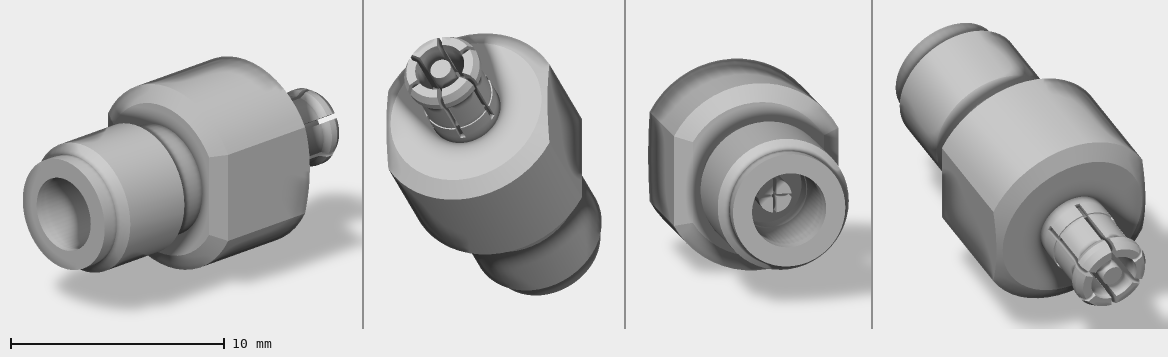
import cadquery as cq
import math


length = 16.7
socket_lip_end = 0.8
thread_relief_start = 5.3
nut_front = 6.5
nut_back = 12.55
plug_collar_end = 13.83

thread_radius = 3.15
thread_root_radius = 2.7
thread_chamfer = thread_radius - thread_root_radius
socket_bore_radius = 1.78
socket_bore_depth = 5.0
socket_inner_bore_radius = 1.73
socket_inner_bore_start = 4.0

contact_radius = 0.8
contact_height = 2.0
contact_slot_width = 0.17
contact_slot_depth = 1.0
contact_dimple_radius = 0.48
contact_dimple_angle = 118.0

nut_radius = 4.5
across_flats = 7.9
nut_chamfer_inset = 0.8
nut_chamfer_angle = 60.0
nut_chamfer_length = nut_chamfer_inset / math.tan(math.radians(nut_chamfer_angle))

collar_radius = 1.7
sleeve_radius = 1.64
bead_radius = 1.85
bead_step = 0.35
plug_bore_radius = 1.2
plug_bore_overrun = 0.05
plug_bore_end = plug_collar_end - plug_bore_overrun
pin_radius = 0.5
pin_recess = 0.15

slit_count = 6
first_slit_angle = 30.0
slit_width = 0.25
slit_length = 3.7
slit_floor_radius = 1.47


def turned(profile):
    """Revolve closed (radius, y) points about the Y axis."""
    return cq.Workplane("XY").polyline(profile).close().revolve(360, (0, 0, 0), (0, 1, 0))


def cylinder(radius, y_start, y_end):
    return turned([(0, y_start), (radius, y_start), (radius, y_end), (0, y_end)])


def make_socket_end():
    """Stepped thread cylinder, solid up to the wrench body."""
    return turned([
        (0, 0),
        (thread_root_radius, 0),
        (thread_root_radius, socket_lip_end),
        (thread_radius, socket_lip_end + thread_chamfer),
        (thread_radius, thread_relief_start - thread_chamfer),
        (thread_root_radius, thread_relief_start),
        (thread_root_radius, nut_front),
        (0, nut_front),
    ])


def nut_outline(y):
    """Circle with two flats, facing -Y at the given station."""
    flat_x = across_flats / 2
    flat_z = math.sqrt(nut_radius**2 - flat_x**2)
    return (
        cq.Workplane("XZ", origin=(0, y, 0))
        .moveTo(flat_x, -flat_z)
        .lineTo(flat_x, flat_z)
        .threePointArc((0, nut_radius), (-flat_x, flat_z))
        .lineTo(-flat_x, -flat_z)
        .threePointArc((0, -nut_radius), (flat_x, -flat_z))
        .close()
    )


def make_nut():
    """Round body with two flats; the front chamfer follows the flats, the back one is a turned cone."""
    body_start = nut_front + nut_chamfer_length
    front_chamfer = nut_outline(body_start).extrude(nut_chamfer_length, taper=nut_chamfer_angle)
    body = nut_outline(nut_back).extrude(nut_back - body_start)
    back_cone = turned([
        (0, body_start),
        (nut_radius, body_start),
        (nut_radius, nut_back - nut_chamfer_length),
        (nut_radius - nut_chamfer_inset, nut_back),
        (0, nut_back),
    ])
    return body.intersect(back_cone).union(front_chamfer)


def make_plug_end():
    """Collar and sleeve ending in a snap bead."""
    return turned([
        (0, nut_back),
        (collar_radius, nut_back),
        (collar_radius, plug_collar_end),
        (sleeve_radius, plug_collar_end),
        (sleeve_radius, length - 3 * bead_step),
        (bead_radius, length - 2 * bead_step),
        (bead_radius, length - bead_step),
        (sleeve_radius, length),
        (0, length),
    ])


def make_contact():
    """Centre contact on the socket floor, with a crossed slot and a drill-point dimple below the slot."""
    tip_y = socket_bore_depth - contact_height
    slot_floor_y = tip_y + contact_slot_depth
    dimple_depth = contact_dimple_radius / math.tan(math.radians(contact_dimple_angle / 2))
    contact = cylinder(contact_radius, tip_y, socket_bore_depth)
    slot_center_y = tip_y + contact_slot_depth / 2
    slot = cq.Workplane("XY").box(2 * contact_radius, contact_slot_depth, contact_slot_width)
    slot = slot.translate((0, slot_center_y, 0))
    for angle in (0, 90):
        contact = contact.cut(slot.rotate((0, 0, 0), (0, 1, 0), angle))
    dimple = turned([
        (0, slot_floor_y),
        (contact_dimple_radius, slot_floor_y),
        (0, slot_floor_y + dimple_depth),
    ])
    return contact.cut(dimple)


def make_slit():
    """One radial slit: full depth along the sleeve, shallower in the collar."""
    slit_reach = 2 * bead_radius
    return (
        cq.Workplane("XY")
        .polyline([
            (0, plug_bore_end),
            (slit_floor_radius, plug_bore_end),
            (slit_floor_radius, length - slit_length),
            (slit_reach, length - slit_length),
            (slit_reach, length),
            (0, length),
        ])
        .close()
        .extrude(slit_width / 2, both=True)
    )


def fit_socket(body):
    """Bore the socket in two slightly different diameters and stand the contact on its floor."""
    outer_bore = cylinder(socket_bore_radius, 0, socket_inner_bore_start)
    inner_bore = cylinder(socket_inner_bore_radius, socket_inner_bore_start, socket_bore_depth)
    return body.cut(outer_bore).cut(inner_bore).union(make_contact())


def fit_plug(body):
    """Bore the plug, slit it all round and put the centre pin in it."""
    body = body.cut(cylinder(plug_bore_radius, plug_bore_end, length))
    slit = make_slit()
    for index in range(slit_count):
        angle = first_slit_angle + index * 360 / slit_count
        body = body.cut(slit.rotate((0, 0, 0), (0, 1, 0), angle))
    return body.union(cylinder(pin_radius, plug_bore_end, length - pin_recess))


body = make_socket_end().union(make_nut()).union(make_plug_end())
body = fit_socket(body)
result = fit_plug(body)